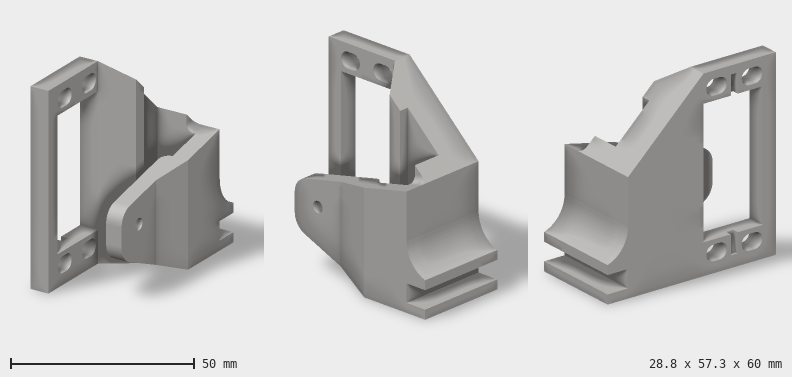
import cadquery as cq
import math

WIDTH = 28.75
DEPTH = 57.3
HEIGHT = 60.0

SLOPE_FRONT_Y = 24.65
BACK_Y = 50.35
SHOULDER_Z = 35.95
FOOT_TOP_Z = 11.7
FOOT_CURVE_RADIUS = 10.0
NOTCH_BOTTOM_Z = 3.0
NOTCH_TOP_Z = 8.75

PLATE_THICKNESS = 5.9
LIP_X = 14.4
LIP_FRONT_Y = 30.65
CHANNEL_FRONT_Y = 34.55
CHANNEL_BACK_Y = 46.0
CHANNEL_LEFT_X = 11.35
CHANNEL_RIGHT_X = 23.7
ARM_INNER_X = 20.75
ARM_OUTER_X = 25.8
ARM_TAPER_Y = 23.05
MOUTH_RADIUS = CHANNEL_RIGHT_X - ARM_INNER_X

ARM_TIP_Y = 5.95
ARM_TIP_TOP_Z = 26.15
ARM_TIP_BOTTOM_Z = 12.1
ARM_TOP_RADIUS = 5.05
ARM_BOTTOM_RADIUS = 6.0
PIVOT_Y = 14.6
PIVOT_Z = 20.0
PIVOT_DIAMETER = 3.6
WALL_FILLET = 2.1

WINDOW_FRONT_Y = 4.5
WINDOW_BACK_Y = SLOPE_FRONT_Y
WINDOW_BOTTOM_Z = 10.0
WINDOW_TOP_Z = 51.05
WINDOW_MID_Z = (WINDOW_BOTTOM_Z + WINDOW_TOP_Z) / 2
SLOT_LENGTH = 7.0
SLOT_HEIGHT = 5.0
SLOT_SPACING_Y = 12.05
SLOT_SPACING_Z = 49.0
SLOT_MID_Y = 14.15
WEDGE_WIDTH = 2.4
WEDGE_INNER_DEPTH = 2.1
WEDGE_OUTER_DEPTH = 1.0
WEDGE_INNER_RISE = 1.45
WEDGE_OUTER_RISE = 6.25

CLEARANCE = 3.0


def arm_top_z(y):
    """Height of the sloping upper face of the arm."""
    slope = (SHOULDER_Z - ARM_TIP_TOP_Z) / (BACK_Y - ARM_TIP_Y)
    return SHOULDER_Z + slope * (y - BACK_Y)


def side_body():
    """The side outline extruded across the full width."""
    curve_y = BACK_Y + FOOT_CURVE_RADIUS
    curve_drop = math.sqrt(FOOT_CURVE_RADIUS**2 - (curve_y - DEPTH) ** 2)
    curve_z = FOOT_TOP_Z + curve_drop
    mid_angle = math.atan2(curve_drop, curve_y - DEPTH) / 2
    mid_point = (
        curve_y - FOOT_CURVE_RADIUS * math.cos(mid_angle),
        curve_z - FOOT_CURVE_RADIUS * math.sin(mid_angle),
    )
    return (
        cq.Workplane("YZ")
        .moveTo(0, 0)
        .lineTo(DEPTH, 0)
        .lineTo(DEPTH, NOTCH_BOTTOM_Z)
        .lineTo(BACK_Y, NOTCH_BOTTOM_Z)
        .lineTo(BACK_Y, NOTCH_TOP_Z)
        .lineTo(DEPTH, NOTCH_TOP_Z)
        .lineTo(DEPTH, FOOT_TOP_Z)
        .threePointArc(mid_point, (BACK_Y, curve_z))
        .lineTo(BACK_Y, SHOULDER_Z)
        .lineTo(SLOPE_FRONT_Y, HEIGHT)
        .lineTo(0, HEIGHT)
        .close()
        .extrude(WIDTH)
    )


def plan_body():
    """The plan section extruded to the full height."""
    arc_offset = MOUTH_RADIUS * (1 - math.sqrt(0.5))
    mouth_mid = (ARM_INNER_X + arc_offset, CHANNEL_FRONT_Y - arc_offset)
    return (
        cq.Workplane("XY")
        .moveTo(0, 0)
        .lineTo(PLATE_THICKNESS, 0)
        .lineTo(PLATE_THICKNESS, SLOPE_FRONT_Y)
        .lineTo(LIP_X, LIP_FRONT_Y)
        .lineTo(LIP_X, CHANNEL_FRONT_Y)
        .lineTo(CHANNEL_LEFT_X, CHANNEL_FRONT_Y)
        .lineTo(CHANNEL_LEFT_X, CHANNEL_BACK_Y)
        .lineTo(CHANNEL_RIGHT_X, CHANNEL_BACK_Y)
        .lineTo(CHANNEL_RIGHT_X, CHANNEL_FRONT_Y)
        .threePointArc(mouth_mid, (ARM_INNER_X, CHANNEL_FRONT_Y - MOUTH_RADIUS))
        .lineTo(ARM_INNER_X, ARM_TIP_Y)
        .lineTo(ARM_OUTER_X, ARM_TIP_Y)
        .lineTo(ARM_OUTER_X, ARM_TAPER_Y)
        .lineTo(WIDTH, CHANNEL_FRONT_Y)
        .lineTo(WIDTH, DEPTH)
        .lineTo(0, DEPTH)
        .close()
        .extrude(HEIGHT)
    )


def arm_trim():
    """Everything around the rounded side outline of the arm."""
    arm = (
        cq.Workplane("YZ", origin=(ARM_INNER_X, 0, 0))
        .polyline([
            (ARM_TIP_Y, ARM_TIP_BOTTOM_Z),
            (CHANNEL_FRONT_Y, 0),
            (CHANNEL_FRONT_Y, arm_top_z(CHANNEL_FRONT_Y)),
            (ARM_TIP_Y, ARM_TIP_TOP_Z),
        ])
        .close()
        .extrude(WIDTH - ARM_INNER_X)
    )
    arm = arm.faces("<Y").edges(">Z").fillet(ARM_TOP_RADIUS)
    arm = arm.faces("<Y").edges("<Z").fillet(ARM_BOTTOM_RADIUS)
    block = cq.Workplane("XY").box(
        WIDTH - ARM_INNER_X, CHANNEL_FRONT_Y, HEIGHT, centered=False
    )
    return block.translate((ARM_INNER_X, 0, 0)).cut(arm)


def wall_trim():
    """Space above the arm beside the wall, rounded at its inner lower edge."""
    end_y = BACK_Y + CLEARANCE
    return (
        cq.Workplane("YZ", origin=(ARM_INNER_X, 0, 0))
        .polyline([
            (CHANNEL_FRONT_Y, arm_top_z(CHANNEL_FRONT_Y)),
            (end_y, arm_top_z(end_y)),
            (end_y, HEIGHT),
            (CHANNEL_FRONT_Y, HEIGHT),
        ])
        .close()
        .extrude(WIDTH - ARM_INNER_X + CLEARANCE)
        .faces("<X")
        .edges("<Z")
        .fillet(WALL_FILLET)
    )


def pivot_hole():
    return (
        cq.Workplane("YZ", origin=(ARM_INNER_X, 0, 0))
        .center(PIVOT_Y, PIVOT_Z)
        .circle(PIVOT_DIAMETER / 2)
        .extrude(WIDTH - ARM_INNER_X)
    )


def window():
    return cq.Workplane("XY").box(
        PLATE_THICKNESS,
        WINDOW_BACK_Y - WINDOW_FRONT_Y,
        WINDOW_TOP_Z - WINDOW_BOTTOM_Z,
        centered=False,
    ).translate((0, WINDOW_FRONT_Y, WINDOW_BOTTOM_Z))


def mounting_slots():
    return (
        cq.Workplane("YZ", origin=(0, SLOT_MID_Y, WINDOW_MID_Z))
        .rarray(SLOT_SPACING_Y, SLOT_SPACING_Z, 2, 2)
        .slot2D(SLOT_LENGTH, SLOT_HEIGHT)
        .extrude(PLATE_THICKNESS)
    )


def wedge_notch(window_edge_z, direction):
    """Notch running away from the window edge, up (1) or down (-1)."""
    return (
        cq.Workplane("XZ", origin=(0, SLOT_MID_Y, 0))
        .polyline([
            (0, window_edge_z),
            (WEDGE_INNER_DEPTH, window_edge_z),
            (WEDGE_INNER_DEPTH, window_edge_z + direction * WEDGE_INNER_RISE),
            (WEDGE_OUTER_DEPTH, window_edge_z + direction * WEDGE_OUTER_RISE),
            (0, window_edge_z + direction * WEDGE_OUTER_RISE),
        ])
        .close()
        .extrude(WEDGE_WIDTH / 2, both=True)
    )


result = side_body().intersect(plan_body())
result = result.cut(arm_trim()).cut(wall_trim()).cut(pivot_hole())
result = result.cut(window()).cut(mounting_slots())
for edge_z, direction in ((WINDOW_BOTTOM_Z, -1), (WINDOW_TOP_Z, 1)):
    result = result.cut(wedge_notch(edge_z, direction))